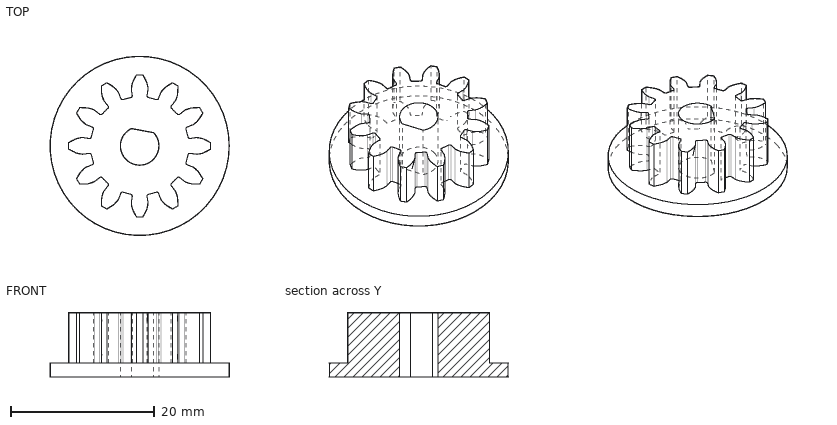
import cadquery as cq
import math

flange_diameter = 25.0
flange_thickness = 2.0

overall_height = 9.0
tooth_count = 12
pitch_diameter = 17.0
pressure_angle = math.radians(20.0)
root_clearance = 0.2
root_fillet = 0.25
flank_steps = 6

bore_diameter = 5.34
bore_flat_distance = 2.15
bore_flat_tilt = -10.8

gear_height = overall_height - flange_thickness
gear_module = pitch_diameter / tooth_count
pitch_radius = pitch_diameter / 2
tip_radius = pitch_radius + gear_module
root_radius = pitch_radius - gear_module - root_clearance
base_radius = pitch_radius * math.cos(pressure_angle)
tooth_pitch_angle = 2 * math.pi / tooth_count


def involute(angle):
    """Polar angle swept by the involute where its pressure angle is `angle`."""
    return math.tan(angle) - angle


base_half_angle = tooth_pitch_angle / 4 + involute(pressure_angle)


def polar(radius, angle):
    """X and Y of a point given by its polar coordinates."""
    return (radius * math.cos(angle), radius * math.sin(angle))


def flank_points(tooth_angle, side):
    """Involute flank from base circle to tip; side is -1 or +1 about the tooth centre."""
    tip_pressure_angle = math.acos(base_radius / tip_radius)
    tip_roll = math.tan(tip_pressure_angle)
    points = []
    for step in range(flank_steps + 1):
        roll = tip_roll * step / flank_steps
        radius = base_radius * math.hypot(1, roll)
        half_angle = base_half_angle - involute(math.atan(roll))
        points.append(polar(radius, tooth_angle + side * half_angle))
    return points


def make_gear():
    """Toothed prism: involute flanks, radial lower flanks, flat tips and flat roots."""
    first_root = polar(root_radius, -base_half_angle)
    outline = cq.Workplane("XY").workplane(offset=flange_thickness).moveTo(*first_root)
    for tooth in range(tooth_count):
        tooth_angle = tooth * tooth_pitch_angle
        next_root_angle = tooth_angle + tooth_pitch_angle - base_half_angle
        rising = flank_points(tooth_angle, -1)
        falling = flank_points(tooth_angle, 1)[::-1]
        outline = outline.lineTo(*rising[0]).spline(rising[1:], includeCurrent=True)
        outline = outline.lineTo(*falling[0]).spline(falling[1:], includeCurrent=True)
        outline = outline.lineTo(*polar(root_radius, tooth_angle + base_half_angle))
        if tooth < tooth_count - 1:
            outline = outline.lineTo(*polar(root_radius, next_root_angle))
    gear = outline.close().extrude(gear_height)

    root_corners = [
        edge for edge in gear.edges("|Z").vals()
        if math.hypot(edge.Center().x, edge.Center().y) < (root_radius + base_radius) / 2
    ]
    return gear.newObject(root_corners).fillet(root_fillet)


def make_flange():
    return cq.Workplane("XY").circle(flange_diameter / 2).extrude(flange_thickness)


def make_bore():
    """Round cutter with one side sliced off to form the flat."""
    cutter = cq.Workplane("XY").circle(bore_diameter / 2).extrude(overall_height)
    keep = (
        cq.Workplane("XY")
        .center(0, bore_flat_distance - bore_diameter / 2)
        .rect(bore_diameter, bore_diameter)
        .extrude(overall_height)
        .rotate((0, 0, 0), (0, 0, 1), bore_flat_tilt)
    )
    return cutter.intersect(keep)


result = make_flange().union(make_gear()).cut(make_bore())